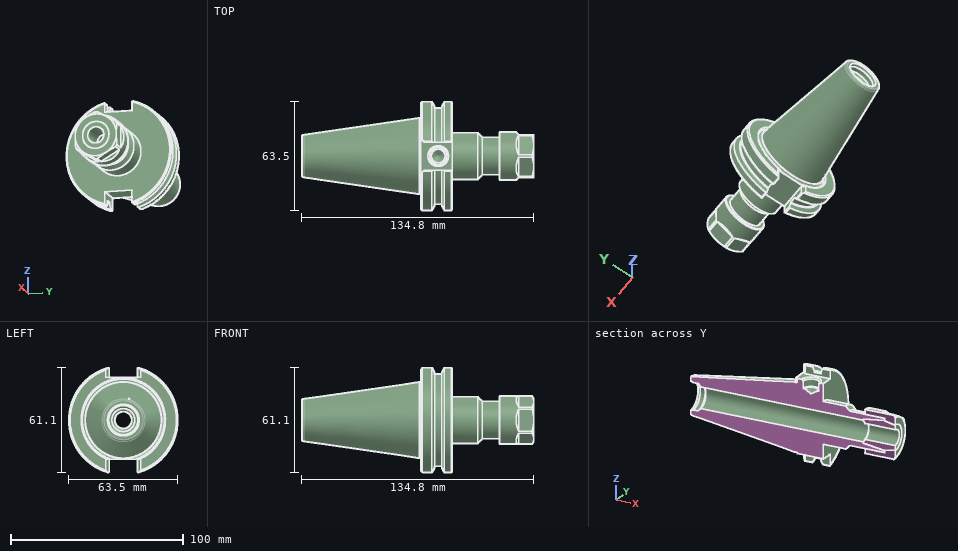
import cadquery as cq
import math

total_length = 134.8
gauge_x = 68.3
flange_front_x = 69.2
flange_back_x = 87.5
hub_end_x = 102.2
neck_start_x = 104.9
nut_rear_x = 114.7

gauge_radius = 44.5 / 2
taper_slope = 7 / 24 / 2
small_end_radius = gauge_radius - gauge_x * taper_slope
end_rounding = 1.1
undercut_radius = 44.2 / 2
undercut_fillet = 0.5

flange_radius = 63.5 / 2
flange_edge_length = 0.8
flange_edge_depth = 0.8
flange_back_chamfer = 0.7
groove_center_x = 79.3
groove_floor_width = 4.0
groove_outer_width = 7.3
groove_step_radius = 57.7 / 2
groove_floor_radius = 56.1 / 2
recess_outer_radius = 49.1 / 2
recess_floor_radius = 47.7 / 2
recess_depth = 1.0

slot_width = 16.3
slot_entry_chamfer = 2.0
slot_edge_chamfer = 0.7
upper_slot_floor = 24.8
lower_slot_floor = 22.8

blind_hole_radius = 10.1 / 2
blind_hole_mouth_radius = 12.0 / 2
blind_hole_depth = 5.5
drill_tip_radius = 8.0 / 2
drill_tip_angle = 118.0

hub_radius = 27.4 / 2
neck_radius = 22.0 / 2
neck_end_x = 128.1

entry_radius = 18.5 / 2
counterbore_radius = 17.0 / 2
main_bore_radius = 13.3 / 2
entry_chamfer_length = 1.9
counterbore_end_x = 5.1
bore_cone_length = 1.5

collet_bore_radius = 9.7 / 2
collet_rear_radius = 14.8 / 2
collet_front_radius = 18.9 / 2
collet_half_angle = 8.0
collet_mouth_length = 1.1
nut_opening_radius = 16.0 / 2

nut_radius = 28.0 / 2
nut_across_flats = 25.0
nut_rear_chamfer = 0.4
flat_start_x = 126.0
nut_nose_length = 1.0

collet_front_x = neck_end_x
collet_taper_length = (collet_front_radius - collet_rear_radius) / math.tan(math.radians(collet_half_angle))
collet_rear_x = collet_front_x - collet_taper_length


def turned(profile):
    """Solid of revolution about X from (x, radius) points."""
    return cq.Workplane("XY").polyline(profile).close().revolve(360, (0, 0, 0), (1, 0, 0))


def holder_blank():
    recess_floor_x = flange_front_x + recess_depth
    outer_half = groove_outer_width / 2
    floor_half = groove_floor_width / 2
    taper_start_radius = small_end_radius + end_rounding * taper_slope
    face_radius = taper_start_radius - end_rounding
    arc_share = math.sqrt(0.5)
    rounding_middle = (end_rounding * (1 - arc_share), face_radius + end_rounding * arc_share)
    fillet_middle = (
        recess_floor_x - undercut_fillet * (1 - arc_share),
        undercut_radius + undercut_fillet * (1 - arc_share),
    )
    flange_to_neck = [
        (recess_floor_x, recess_floor_radius),
        (flange_front_x, recess_outer_radius),
        (flange_front_x, flange_radius - flange_edge_depth),
        (flange_front_x + flange_edge_length, flange_radius),
        (groove_center_x - outer_half, flange_radius),
        (groove_center_x - floor_half, groove_step_radius),
        (groove_center_x - floor_half, groove_floor_radius),
        (groove_center_x + floor_half, groove_floor_radius),
        (groove_center_x + floor_half, groove_step_radius),
        (groove_center_x + outer_half, flange_radius),
        (flange_back_x - flange_back_chamfer, flange_radius),
        (flange_back_x, flange_radius - flange_back_chamfer),
        (flange_back_x, hub_radius),
        (hub_end_x, hub_radius),
        (neck_start_x, neck_radius),
        (neck_end_x, neck_radius),
        (neck_end_x, 0),
    ]
    outline = (
        cq.Workplane("XY")
        .lineTo(0, face_radius)
        .threePointArc(rounding_middle, (end_rounding, taper_start_radius))
        .lineTo(gauge_x, gauge_radius)
        .lineTo(gauge_x, undercut_radius)
        .lineTo(recess_floor_x - undercut_fillet, undercut_radius)
        .threePointArc(fillet_middle, (recess_floor_x, undercut_radius + undercut_fillet))
    )
    for x, radius in flange_to_neck:
        outline = outline.lineTo(x, radius)
    return outline.close().revolve(360, (0, 0, 0), (1, 0, 0))


def holder_bore():
    return turned([
        (0, 0),
        (0, entry_radius),
        (entry_chamfer_length, counterbore_radius),
        (counterbore_end_x, counterbore_radius),
        (counterbore_end_x + bore_cone_length, main_bore_radius),
        (collet_rear_x, main_bore_radius),
        (collet_rear_x, collet_rear_radius),
        (collet_front_x, collet_front_radius),
        (collet_front_x, 0),
    ])


def driving_slot(floor, side):
    """Cutter for one slot; side is +1 for the top of the flange and -1 for the bottom."""
    half = slot_width / 2
    wide_half = half + slot_entry_chamfer
    plan = [
        (flange_front_x, -wide_half),
        (flange_front_x + slot_entry_chamfer, -half),
        (flange_back_x, -half),
        (flange_back_x, half),
        (flange_front_x + slot_entry_chamfer, half),
        (flange_front_x, wide_half),
    ]
    slot = cq.Workplane("XY").workplane(offset=side * floor).polyline(plan).close()
    slot = slot.extrude(side * (flange_radius - floor))
    rim_z = math.sqrt(flange_radius**2 - half**2)
    bevel_bottom = rim_z - slot_edge_chamfer
    bevel_rise = flange_radius - bevel_bottom
    bevel = (
        cq.Workplane("YZ")
        .workplane(offset=flange_front_x)
        .polyline([
            (-half, side * bevel_bottom),
            (half, side * bevel_bottom),
            (half + bevel_rise, side * flange_radius),
            (-half - bevel_rise, side * flange_radius),
        ])
        .close()
        .extrude(flange_back_x - flange_front_x)
    )
    return slot.union(bevel)


def blind_hole():
    mouth_depth = blind_hole_mouth_radius - blind_hole_radius
    tip_depth = drill_tip_radius / math.tan(math.radians(drill_tip_angle / 2))
    profile = [
        (0, 0),
        (blind_hole_mouth_radius, 0),
        (blind_hole_radius, -mouth_depth),
        (blind_hole_radius, -blind_hole_depth),
        (drill_tip_radius, -blind_hole_depth),
        (0, -blind_hole_depth - tip_depth),
    ]
    hole = cq.Workplane("XZ").polyline(profile).close().revolve(360, (0, 0, 0), (0, 1, 0))
    return hole.translate((groove_center_x, 0, upper_slot_floor))


def make_holder():
    return (
        holder_blank()
        .cut(holder_bore())
        .cut(driving_slot(upper_slot_floor, 1))
        .cut(driving_slot(lower_slot_floor, -1))
        .cut(blind_hole())
    )


def make_collet():
    return turned([
        (collet_rear_x, main_bore_radius),
        (collet_rear_x, collet_rear_radius),
        (collet_front_x, collet_front_radius),
        (total_length, nut_opening_radius),
        (total_length, collet_bore_radius),
        (collet_rear_x + collet_mouth_length, collet_bore_radius),
    ])


def wrench_flat():
    """Cutter for one flat facing +Y, with a 45 degree run-out toward the round part of the nut."""
    flat = nut_across_flats / 2
    depth = nut_radius - flat
    return (
        cq.Workplane("XY")
        .polyline([
            (flat_start_x, flat),
            (total_length, flat),
            (total_length, flat + depth),
            (flat_start_x - depth, flat + depth),
        ])
        .close()
        .extrude(nut_radius, both=True)
    )


def make_nut():
    nut = turned([
        (nut_rear_x, neck_radius),
        (nut_rear_x, nut_radius - nut_rear_chamfer),
        (nut_rear_x + nut_rear_chamfer, nut_radius),
        (total_length - nut_nose_length, nut_radius),
        (total_length, nut_across_flats / 2),
        (total_length, nut_opening_radius),
        (neck_end_x, collet_front_radius),
        (neck_end_x, neck_radius),
    ])
    for side in range(6):
        nut = nut.cut(wrench_flat().rotate((0, 0, 0), (1, 0, 0), side * 60))
    return nut


holder = make_holder()
collet = make_collet()
nut = make_nut()

result = cq.Compound.makeCompound([holder.val(), collet.val(), nut.val()])